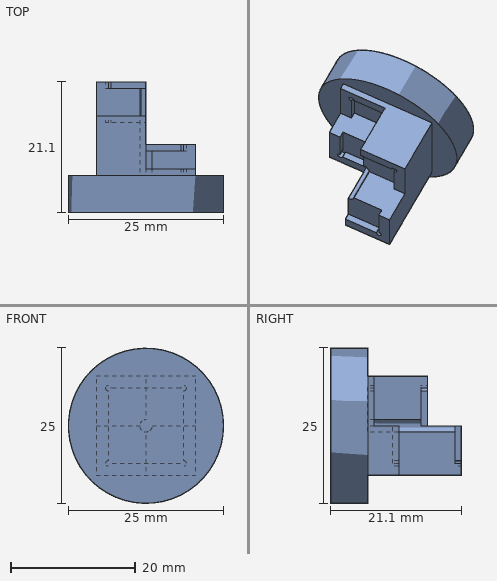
import cadquery as cq

disc_diameter = 25.0
disc_thickness = 6.0
column_size = 8.0
seat_size = 6.05
seat_depth = 1.05
axis_hole_diameter = 2.0
corner_relief_diameter = 0.9

columns = [
    (1, 1, 7.0),
    (1, -1, 11.0),
    (-1, 1, 15.6),
    (-1, -1, 21.06),
]


def section_plane(y):
    """Sketch plane across the axis at height y; local x is X, local y is Z, extruding toward -Y."""
    return cq.Workplane("XZ", origin=(0, y, 0))


def square_prism(x_direction, z_direction, size, y_start, y_end):
    """Square prism with one long edge on the part's axis, in the chosen quadrant."""
    centre = (x_direction * size / 2, z_direction * size / 2)
    return section_plane(y_end).center(*centre).rect(size, size).extrude(y_end - y_start)


def cylinder(x, z, diameter, y_start, y_end):
    """Cylinder parallel to the Y axis."""
    return section_plane(y_end).center(x, z).circle(diameter / 2).extrude(y_end - y_start)


def seat(x_direction, z_direction, end_height):
    """Square seat sunk into a column's end face, with a round relief at its outer corner."""
    floor = end_height - seat_depth
    pocket = square_prism(x_direction, z_direction, seat_size, floor, end_height)
    relief = cylinder(
        x_direction * seat_size,
        z_direction * seat_size,
        corner_relief_diameter,
        floor,
        end_height,
    )
    return pocket.union(relief)


result = cylinder(0, 0, disc_diameter, 0, disc_thickness)

for x_dir, z_dir, height in columns:
    result = result.union(square_prism(x_dir, z_dir, column_size, 0, height))

for x_dir, z_dir, height in columns:
    result = result.cut(seat(x_dir, z_dir, height))

end_heights = [height for _, _, height in columns]
hole_bottom = min(end_heights) - seat_depth
result = result.cut(cylinder(0, 0, axis_hole_diameter, hole_bottom, max(end_heights)))